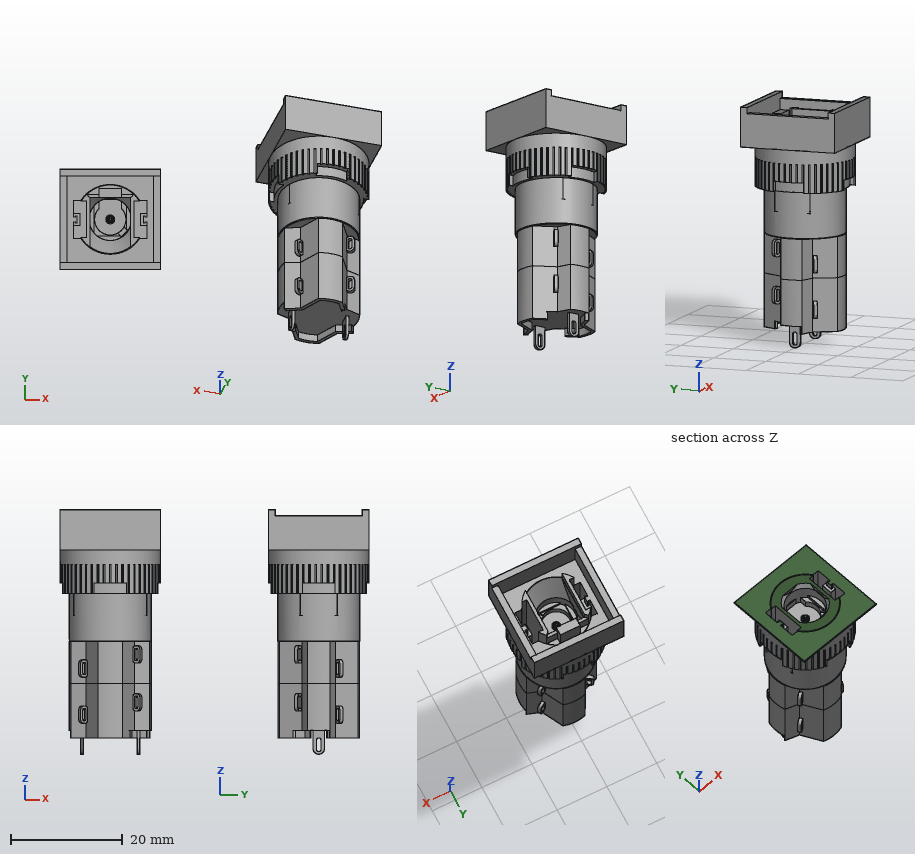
import cadquery as cq
import math


bezel_size = 18.0
bezel_wall = 1.25
bezel_bottom = -7.25
bezel_floor = -5.9
side_wall_drop = 1.1
inner_size = bezel_size - 2 * bezel_wall

ring_radius = bezel_size / 2
ring_bottom = -15.05
ring_notch_top = -13.12
ring_notch_width = 5.75
ring_notch_radius = 8.0
groove_count = 50
groove_width = 0.29
groove_depth = 0.25
groove_top = -9.85

barrel_radius = 14.7 / 2
barrel_bottom = -23.65
barrel_chamfer = 0.15
bore_radius = 6.25
bore_bottom = -19.0

pocket_reach = 6.54
pocket_half_width = 3.38
rail_reach = 5.37
rail_width = 2.1
rail_top = -8.0
tongue_reach = 5.93
tongue_head = 0.27
tongue_head_width = 1.2
tongue_neck_width = 0.9

plunger_radius = 6.17
plunger_top = -2.03
ledge_top = -3.4
slot_half_width = 3.65
slot_step = 0.05
slot_step_level = -3.85
slot_back = 3.9
back_wall = 0.6
tower_width = 4.0
tower_back = 5.55
web_outer = 4.28
web_half_width = 3.25

cone_top_radius = 6.1
cone_top = slot_step_level
socket_radius = 3.78
cone_bottom = -7.8
socket_floor = -10.0
seat_half_width = 2.94
seat_floor = -10.6
lamp_radius = 2.8
lamp_floor = -12.0
key_width = tower_width
key_length = 3.6
latch_width = 1.6
latch_reach = 3.6
latch_floor = -11.0
contact_radii = (0.8, 0.6, 0.4, 0.2)
contact_step = 0.2

stage_split = -31.1
block_bottom = -40.9
flute_x = 4.36
flute_y = 3.0
side_edge_y = 2.05
front_edge_x = 2.23
shell_wall = 0.66
recess_depth = 1.4
opening_y = 4.6
opening_inner_x = 3.0
leg_corner = (6.5, 1.38)

lug_angle = 30.5
lug_length = 1.6
lug_height = 3.15
lug_thickness = 0.68
lug_corner = 0.75
lug_sink = 0.1
lug_slot_width = 0.75
lug_slot_height = 2.2
upper_lug_levels = (-25.93, -28.45)
lower_lug_levels = (-34.5, -36.7)

terminal_x = 5.07
terminal_thickness = 0.5
terminal_width = 2.1
terminal_tip = -43.8
terminal_slot_width = 0.8
terminal_slot_top = block_bottom
terminal_slot_bottom = -43.3


def cylinder(radius, top, bottom):
    return cq.Workplane("XY").workplane(offset=bottom).circle(radius).extrude(top - bottom)


def box(x_range, y_range, z_range):
    x0, x1 = x_range
    y0, y1 = y_range
    z0, z1 = z_range
    return cq.Workplane("XY").box(x1 - x0, y1 - y0, z1 - z0, centered=False).translate((x0, y0, z0))


def centered_box(half_x, half_y, z_range):
    return box((-half_x, half_x), (-half_y, half_y), z_range)


def half_turn(shape):
    return shape.rotate((0, 0, 0), (0, 0, 1), 180)


def make_bezel():
    half = bezel_size / 2
    inner = inner_size / 2
    bezel = centered_box(half, half, (bezel_bottom, 0))
    bezel = bezel.cut(centered_box(inner, inner, (bezel_floor, 0)))
    return bezel.cut(centered_box(half, inner, (-side_wall_drop, 0)))


def make_grip_ring():
    ring = cylinder(ring_radius, bezel_bottom, ring_bottom)
    grooves = (
        cq.Workplane("XY")
        .workplane(offset=ring_bottom)
        .polarArray(ring_radius, 90, 360, groove_count)
        .rect(2 * groove_depth, groove_width)
        .extrude(groove_top - ring_bottom)
    )
    ring = ring.cut(grooves)
    notch_levels = (ring_bottom, ring_notch_top)
    half_notch = ring_notch_width / 2
    notches = centered_box(bezel_size, half_notch, notch_levels)
    notches = notches.union(centered_box(half_notch, bezel_size, notch_levels))
    return ring.cut(notches.cut(cylinder(ring_notch_radius, ring_notch_top, ring_bottom)))


def make_pocket_rail():
    """Rail on the outer wall of the +X pocket, with a T-shaped tongue on top."""
    head_end = tongue_reach + tongue_head
    outer = pocket_reach
    half_rail = rail_width / 2
    half_head = tongue_head_width / 2
    half_neck = tongue_neck_width / 2
    rail = box((rail_reach, outer), (-half_rail, half_rail), (bore_bottom, rail_top))
    head = box((tongue_reach, head_end), (-half_head, half_head), (rail_top, bezel_floor))
    neck = box((head_end, outer), (-half_neck, half_neck), (rail_top, bezel_floor))
    return rail.union(head).union(neck)


def make_housing():
    barrel = cylinder(barrel_radius, bezel_floor, barrel_bottom).faces("<Z").chamfer(barrel_chamfer)
    body = make_bezel().union(make_grip_ring()).union(barrel)
    body = body.cut(cylinder(bore_radius, bezel_floor, bore_bottom))
    body = body.cut(centered_box(pocket_reach, pocket_half_width, (bore_bottom, bezel_floor)))
    rail = make_pocket_rail()
    return body.union(rail).union(half_turn(rail))


def make_plunger_body():
    body = cylinder(plunger_radius, plunger_top, bore_bottom)
    wall_back = slot_back + back_wall
    corner_x = slot_half_width + back_wall
    behind = box((-plunger_radius, plunger_radius), (wall_back, plunger_radius), (bezel_floor, plunger_top))
    above_wall = (
        cq.Workplane("XY")
        .workplane(offset=ledge_top)
        .polyline(
            [
                (-slot_half_width, slot_back),
                (slot_half_width, slot_back),
                (corner_x, wall_back),
                (-corner_x, wall_back),
            ]
        )
        .close()
        .extrude(plunger_top - ledge_top)
    )
    tower = box((-tower_width / 2, tower_width / 2), (slot_back, tower_back), (bezel_floor, plunger_top))
    body = body.cut(behind).cut(above_wall).union(tower)
    side = box(
        (web_outer, bezel_size),
        (-web_half_width, web_half_width),
        (bore_bottom, plunger_top),
    )
    return body.cut(side).cut(half_turn(side))


def make_reflector_space():
    """Slot above the lamp together with the cone that narrows down to the socket."""
    front = -bezel_size
    lower_half = slot_half_width - slot_step
    upper = box((-slot_half_width, slot_half_width), (front, slot_back), (slot_step_level, plunger_top))
    lower = box((-lower_half, lower_half), (front, slot_back), (cone_bottom, slot_step_level))
    cone = (
        cq.Workplane("XZ")
        .polyline(
            [
                (0, cone_bottom),
                (socket_radius, cone_bottom),
                (cone_top_radius, cone_top),
                (bezel_size, cone_top),
                (bezel_size, plunger_top),
                (0, plunger_top),
            ]
        )
        .close()
        .revolve(360, (0, 0, 0), (0, 1, 0))
    )
    return upper.union(lower).intersect(cone)


def make_lamp_socket():
    socket = cylinder(socket_radius, cone_bottom, socket_floor)
    seat = box((-seat_half_width, seat_half_width), (-seat_half_width, socket_radius), (seat_floor, socket_floor))
    seat = seat.intersect(cylinder(socket_radius, socket_floor, seat_floor))
    lamp = cylinder(lamp_radius, seat_floor, lamp_floor)
    key = box((-key_width / 2, key_width / 2), (0, key_length), (lamp_floor, seat_floor))
    key = key.intersect(cylinder(socket_radius, seat_floor, lamp_floor))
    latch = box((0, latch_reach), (-latch_width / 2, latch_width / 2), (latch_floor, socket_floor))
    latch = latch.rotate((0, 0, 0), (0, 0, 1), -45)
    return socket.union(seat).union(lamp).union(key).union(latch)


def make_plunger():
    plunger = make_plunger_body().cut(make_reflector_space()).cut(make_lamp_socket())
    for step, radius in enumerate(contact_radii, start=1):
        plunger = plunger.union(cylinder(radius, lamp_floor + step * contact_step, lamp_floor))
    return plunger


def rim_reach(offset):
    return math.sqrt(barrel_radius**2 - offset**2)


def fluted_outline(bottom):
    """Barrel circle with a V-shaped flute in each quadrant."""
    side_x = rim_reach(side_edge_y)
    front_y = rim_reach(front_edge_x)
    return (
        cq.Workplane("XY")
        .workplane(offset=bottom)
        .moveTo(side_x, -side_edge_y)
        .threePointArc((barrel_radius, 0), (side_x, side_edge_y))
        .lineTo(flute_x, flute_y)
        .lineTo(front_edge_x, front_y)
        .threePointArc((0, barrel_radius), (-front_edge_x, front_y))
        .lineTo(-flute_x, flute_y)
        .lineTo(-side_x, side_edge_y)
        .threePointArc((-barrel_radius, 0), (-side_x, -side_edge_y))
        .lineTo(-flute_x, -flute_y)
        .lineTo(-front_edge_x, -front_y)
        .threePointArc((0, -barrel_radius), (front_edge_x, -front_y))
        .lineTo(flute_x, -flute_y)
        .close()
    )


def make_lug(level):
    """Upright eyelet plate pointing out of the flute corner in the -X -Y quadrant."""
    angle = math.radians(lug_angle)
    along = cq.Vector(math.sin(angle), -math.cos(angle), 0)
    outward = cq.Vector(-math.cos(angle), -math.sin(angle), 0)
    plane = cq.Plane(origin=(-flute_x, -flute_y, level), xDir=outward, normal=along)
    center = lug_length / 2 - lug_sink
    lug = (
        cq.Workplane(plane)
        .center(center, 0)
        .rect(lug_length, lug_height)
        .extrude(lug_thickness)
        .edges(cq.ParallelDirSelector(along))
        .fillet(lug_corner)
    )
    slot = cq.Workplane(plane).center(center, 0).slot2D(lug_slot_height, lug_slot_width, 90)
    return lug.cut(slot.extrude(lug_thickness))


def add_lugs(block, levels):
    high, low = levels
    low_lug = make_lug(low)
    high_lug = make_lug(high).mirror("YZ")
    for lug in (low_lug, half_turn(low_lug), high_lug, half_turn(high_lug)):
        block = block.union(lug)
    return block


def make_upper_block():
    block = fluted_outline(stage_split).extrude(barrel_bottom - stage_split)
    return add_lugs(block, upper_lug_levels)


def make_side_opening():
    """Gap in the bottom rim over the +X sector and the +X -Y flute."""
    corner_x, corner_y = leg_corner
    return (
        cq.Workplane("XY")
        .workplane(offset=block_bottom)
        .polyline(
            [
                (opening_inner_x, -opening_y),
                (bezel_size, -opening_y),
                (bezel_size, corner_y + bezel_size - corner_x),
                leg_corner,
                (opening_inner_x, corner_y),
            ]
        )
        .close()
        .extrude(recess_depth)
    )


def make_terminal(x):
    half = terminal_width / 2
    top = block_bottom + recess_depth
    plate = (
        cq.Workplane("YZ")
        .moveTo(-half, top)
        .lineTo(-half, terminal_tip + half)
        .threePointArc((0, terminal_tip), (half, terminal_tip + half))
        .lineTo(half, top)
        .close()
        .extrude(terminal_thickness)
    )
    slot = (
        cq.Workplane("YZ")
        .center(0, (terminal_slot_top + terminal_slot_bottom) / 2)
        .slot2D(terminal_slot_top - terminal_slot_bottom, terminal_slot_width, 90)
        .extrude(terminal_thickness)
    )
    return plate.cut(slot).translate((x - terminal_thickness / 2, 0, 0))


def make_lower_block():
    block = fluted_outline(block_bottom).extrude(stage_split - block_bottom)
    recess = fluted_outline(block_bottom).offset2D(-shell_wall, "intersection").extrude(recess_depth)
    opening = make_side_opening()
    block = block.cut(recess).cut(opening).cut(half_turn(opening))
    for x in (-terminal_x, terminal_x):
        block = block.union(make_terminal(x))
    return add_lugs(block, lower_lug_levels)


housing = make_housing()
plunger = make_plunger()
upper_block = make_upper_block()
lower_block = make_lower_block()

result = cq.Compound.makeCompound(
    [housing.val(), plunger.val(), upper_block.val(), lower_block.val()]
)